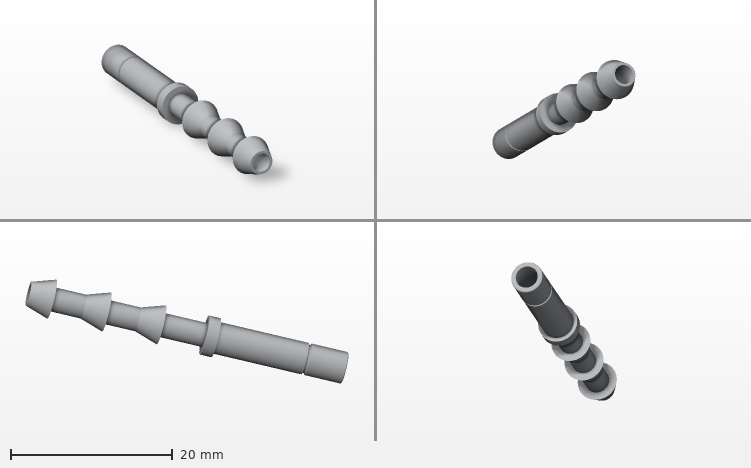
import cadquery as cq

total_length = 40.5
plug_bore_diameter = 2.8
stem_bore_diameter = 2.4

plug_diameter = 4.0
mouth_fillet = 0.15
groove_center = 4.9
groove_radius = 0.2

collar_diameter = 5.0
collar_start = 16.5
collar_width = 1.5

stem_diameter = 3.05
barb_diameter = collar_diameter
barb_length = 3.0
barb_pitch = 7.0
barb_count = 3


def cylinder(start, length, diameter):
    """Cylinder along +X, beginning at X = start."""
    return cq.Workplane("YZ", origin=(start, 0, 0)).circle(diameter / 2).extrude(length)


def make_plug():
    plug = cylinder(0, collar_start, plug_diameter).faces("<X").edges().fillet(mouth_fillet)
    groove = cq.Solid.makeTorus(
        plug_diameter / 2,
        groove_radius,
        cq.Vector(groove_center, 0, 0),
        cq.Vector(1, 0, 0),
    )
    return plug.cut(groove)


def make_barb(start):
    """Cone with a square back at X = start, narrowing to the stem toward +X."""
    return (
        cq.Workplane("XY")
        .moveTo(start, 0)
        .lineTo(start, barb_diameter / 2)
        .lineTo(start + barb_length, stem_diameter / 2)
        .lineTo(start + barb_length, 0)
        .close()
        .revolve(360, (0, 0, 0), (1, 0, 0))
    )


body = make_plug()
body = body.union(cylinder(collar_start, collar_width, collar_diameter))
body = body.union(cylinder(collar_start, total_length - collar_start, stem_diameter))
for index in range(barb_count):
    body = body.union(make_barb(total_length - barb_length - index * barb_pitch))

body = body.cut(cylinder(0, collar_start, plug_bore_diameter))
result = body.cut(cylinder(0, total_length, stem_bore_diameter))